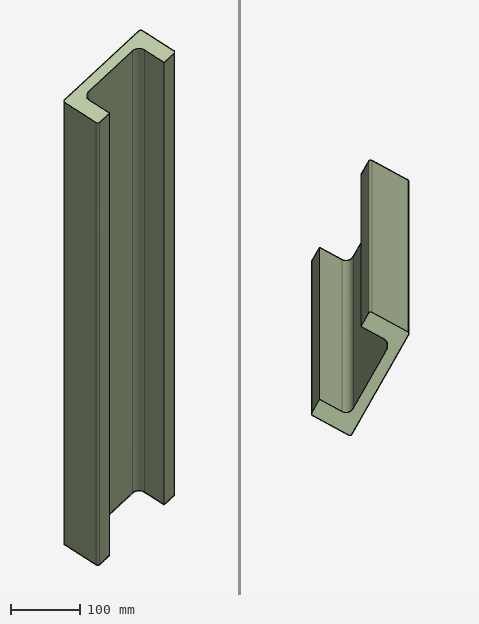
import cadquery as cq

length = 1000.0
depth = 175.0
flange_width = 66.0
web_thickness = 17.0
flange_thickness = 26.0
root_radius = 12.0
edge_radius = 3.5

bar = cq.Workplane("XY").box(flange_width, depth, length)
bar = bar.edges("|Z").fillet(edge_radius)

opening = (
    cq.Workplane("XY")
    .box(flange_width - web_thickness, depth - 2 * flange_thickness, length)
    .translate((web_thickness / 2, 0, 0))
    .edges("|Z and <X")
    .fillet(root_radius)
)

result = bar.cut(opening)